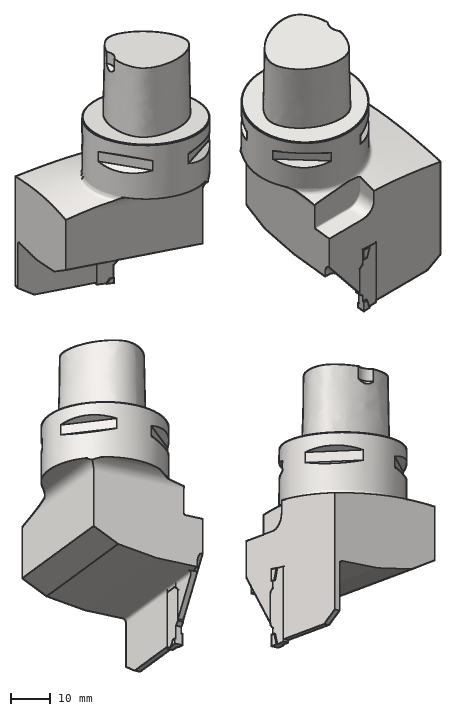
import cadquery as cq
import math


shank_height = 19.0
shank_radius = 10.95
shank_lobe = 0.75
shank_points = 24
shank_taper = 0.4
notch_radius = 3.6
notch_axis_y = -12.5
notch_depth = 3.25

flange_radius = 16.0
flange_height = 15.1
flange_chamfer = 0.2
slot_z = -5.85
slot_floor_distance = 14.2
slot_floor_half_height = 1.3
slot_mouth_half_height = 2.4
slot_angles = (45, 135, 225, 315)

neck_fillet = 1.4
cone_angle = math.radians(15)
cone_radius = 44.4

left_x = -21.7
right_x = 9.4
front_y = flange_radius - 42.1
back_y = 11.4
flare_radius = 3.0
right_side_bottom_z = -33.3
belly_corner = (2.45, -36.8)
belly_flat_x = -8.5
belly_z = -38.3

blade_thickness = 1.55
blade_bottom_z = -54.1
blade_root_fillet = 0.95
blade_chamfer_y = 4.5
blade_chamfer_z = 2.75
relief_top_z = -34.3
relief_slope = 1.4
relief_fillet = 1.5

pocket_floor_x = -16.3
pocket_wall_y = -3.6
pocket_bottom_z = -24.95
pocket_corner_radius = 3.85
pocket_floor_fillet = 0.45

insert_bottom_z = shank_height - 74.0
insert_half_length = 10.1
insert_face_y = 0.15
insert_back_y = -4.45
insert_bulge = 1.0
bulge_half_length = 4.2
bulge_root_half_length = 5.2
edge_relief = 0.3
tip_overhang_left = 0.4
tip_overhang_right = 0.3
tip_length_left = 3.1
tip_length_right = 1.4
tip_depth_top = 1.1
tip_depth_end = 2.1

blade_inner_x = left_x + blade_thickness
insert_mid_z = insert_bottom_z + insert_half_length


def shank_section(radius):
    """Points on a closed three-lobed curve whose tangents lie radius + lobe * cos(3a) from the axis."""
    points = []
    for index in range(shank_points):
        turn = 2 * math.pi * index / shank_points
        normal = turn + math.pi / 2
        reach = radius + shank_lobe * math.cos(3 * turn)
        slide = -3 * shank_lobe * math.sin(3 * turn)
        points.append((
            reach * math.cos(normal) - slide * math.sin(normal),
            reach * math.sin(normal) + slide * math.cos(normal),
        ))
    return points


def make_shank():
    shank = (
        cq.Workplane("XY")
        .spline(shank_section(shank_radius), periodic=True, makeWire=True)
        .workplane(offset=shank_height)
        .spline(shank_section(shank_radius - shank_taper), periodic=True, makeWire=True)
        .loft(ruled=True)
    )
    notch = (
        cq.Workplane("XZ", origin=(0, notch_axis_y, shank_height))
        .moveTo(0, 0)
        .lineTo(notch_radius, 0)
        .lineTo(notch_radius, -notch_depth)
        .lineTo(0, -notch_depth - notch_radius)
        .close()
        .revolve(360, (0, 0), (0, 1))
    )
    return shank.cut(notch)


def make_flange():
    flange = (
        cq.Workplane("XY")
        .circle(flange_radius)
        .extrude(-flange_height)
        .faces(">Z")
        .chamfer(flange_chamfer)
    )
    slot = (
        cq.Workplane("XZ")
        .moveTo(slot_floor_distance, slot_z - slot_floor_half_height)
        .lineTo(flange_radius, slot_z - slot_mouth_half_height)
        .lineTo(flange_radius, slot_z + slot_mouth_half_height)
        .lineTo(slot_floor_distance, slot_z + slot_floor_half_height)
        .close()
        .extrude(flange_radius, both=True)
    )
    for angle in slot_angles:
        flange = flange.cut(slot.rotate((0, 0, 0), (0, 0, 1), angle))
    return flange


def make_shoulder_envelope():
    """Everything under the cone, with the concave neck fillet rising to the flange."""
    center_r = flange_radius + neck_fillet
    tangent_r = center_r - neck_fillet * math.sin(cone_angle)
    tangent_z = -flange_height - neck_fillet * math.cos(cone_angle)
    middle_angle = (math.pi / 2 - cone_angle) / 2
    middle_r = center_r - neck_fillet * math.cos(middle_angle)
    middle_z = -flange_height - neck_fillet * math.sin(middle_angle)
    cone_rim_z = tangent_z - (cone_radius - tangent_r) * math.tan(cone_angle)
    return (
        cq.Workplane("XZ")
        .moveTo(0, -flange_height)
        .lineTo(flange_radius, -flange_height)
        .threePointArc((middle_r, middle_z), (tangent_r, tangent_z))
        .lineTo(cone_radius, cone_rim_z)
        .lineTo(cone_radius, blade_bottom_z)
        .lineTo(0, blade_bottom_z)
        .close()
        .revolve(360, (0, 0), (0, 1))
    )


def flare_up(outline, side):
    """Continue an outline from its side wall up the concave flare to the flange."""
    bend = flare_radius * (1 - math.sqrt(0.5))
    return (
        outline
        .lineTo(side, -flange_height - flare_radius)
        .threePointArc(
            (side + bend, -flange_height - bend),
            (side + flare_radius, -flange_height),
        )
    )


def make_head():
    front_outline = (
        cq.Workplane("XZ")
        .moveTo(left_x, -flange_height)
        .lineTo(left_x, blade_bottom_z)
        .lineTo(blade_inner_x, blade_bottom_z)
        .lineTo(blade_inner_x, belly_z - blade_root_fillet)
        .radiusArc((blade_inner_x + blade_root_fillet, belly_z), blade_root_fillet)
        .lineTo(belly_flat_x, belly_z)
        .lineTo(*belly_corner)
        .lineTo(right_x, right_side_bottom_z)
    )
    across = flare_up(front_outline, right_x).close().extrude(cone_radius, both=True)
    side_outline = (
        cq.Workplane("YZ")
        .moveTo(front_y, -flange_height)
        .lineTo(front_y, blade_bottom_z + blade_chamfer_z)
        .lineTo(front_y + blade_chamfer_y, blade_bottom_z)
        .lineTo(back_y, blade_bottom_z)
    )
    along = flare_up(side_outline, back_y).close().extrude(cone_radius, both=True)
    return across.intersect(along).intersect(make_shoulder_envelope())


def relief_prism(depth):
    """Prism behind the blade's slanted back edge, from the left face inwards."""
    outer_y = back_y + flare_radius
    outer_z = relief_top_z + flare_radius * relief_slope
    low_y = back_y - (relief_top_z - insert_bottom_z) / relief_slope
    return (
        cq.Workplane("YZ", origin=(left_x, 0, 0))
        .moveTo(outer_y, outer_z)
        .lineTo(low_y, insert_bottom_z)
        .lineTo(outer_y, insert_bottom_z)
        .close()
        .extrude(depth)
    )


def make_blade_relief():
    """Cutter for the slanted back edge: rounded along its floor in the head, clear through below it."""
    rounded = (
        relief_prism(blade_thickness)
        .faces(">X")
        .edges("not(|Y or |Z)")
        .fillet(relief_fillet)
    )
    below_belly = (
        cq.Workplane("XY", origin=(0, 0, belly_z))
        .rect(2 * cone_radius, 2 * cone_radius)
        .extrude(insert_bottom_z - belly_z)
    )
    through = relief_prism(blade_thickness + blade_root_fillet).intersect(below_belly)
    return rounded.union(through)


def make_pocket():
    pocket_length = back_y + flare_radius - pocket_wall_y
    pocket_height = -flange_height - pocket_bottom_z
    return (
        cq.Workplane("YZ", origin=(left_x, pocket_wall_y, pocket_bottom_z))
        .rect(pocket_length, pocket_height, centered=False)
        .extrude(pocket_floor_x - left_x)
        .edges("|X and <Y and <Z")
        .fillet(pocket_corner_radius)
        .faces(">X")
        .edges("not(>Y or >Z)")
        .fillet(pocket_floor_fillet)
    )


def make_tip(start_x, width, length):
    """Side overhang of the lower cutting edge."""
    end_depth = insert_face_y - tip_depth_end
    end_rise = edge_relief * tip_depth_end / (insert_face_y - insert_back_y)
    return (
        cq.Workplane("YZ", origin=(start_x, 0, insert_bottom_z))
        .moveTo(insert_face_y, 0)
        .lineTo(insert_face_y, length)
        .lineTo(insert_face_y - tip_depth_top, length)
        .lineTo(end_depth, end_rise)
        .close()
        .extrude(width)
    )


def make_insert():
    lower_half = (
        cq.Workplane("YZ", origin=(left_x, 0, insert_mid_z))
        .moveTo(insert_back_y, 0)
        .lineTo(insert_back_y, edge_relief - insert_half_length)
        .lineTo(insert_face_y, -insert_half_length)
        .lineTo(insert_face_y, -bulge_root_half_length)
        .lineTo(insert_face_y + insert_bulge, -bulge_half_length)
        .lineTo(insert_face_y + insert_bulge, 0)
        .close()
        .extrude(blade_thickness)
    )
    left_tip = make_tip(left_x, -tip_overhang_left, tip_length_left)
    right_tip = make_tip(blade_inner_x, tip_overhang_right, tip_length_right)
    lower_half = lower_half.union(left_tip).union(right_tip)
    upper_half = lower_half.mirror("XY", (0, 0, insert_mid_z))
    return lower_half.union(upper_half).clean()


insert = make_insert()
holder = (
    make_head()
    .cut(make_blade_relief())
    .cut(make_pocket())
    .union(make_flange())
    .union(make_shank())
    .cut(insert)
)

result = cq.Compound.makeCompound([holder.val(), insert.val()])